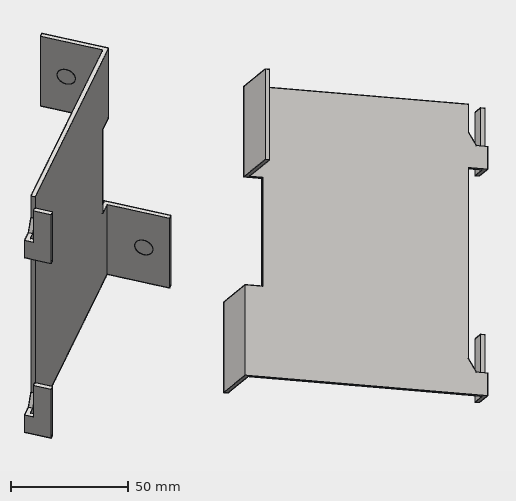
import cadquery as cq

thickness = 2.0
panel_height = 128.0
panel_depth = 100.0
overall_depth = 108.7

flange_reach = 28.0
flange_height = 40.0
rear_notch_depth = 8.0

hook_spacing = 100.0
hook_width = 12.0
hook_height = 28.0
hook_base_height = 10.0
hook_arm_width = 8.0
chamfer_depth = 3.5
chamfer_height = 5.7

mark_diameter = 8.2
mark_depth = 0.1
mark_offset = 16.4

panel_front = overall_depth - panel_depth
flange_front = overall_depth - thickness
flange_bottoms = {-1: panel_height - flange_height, 1: 0.0}


def box(x, y, z, width, depth, height):
    """Box with its minimum corner at (x, y, z)."""
    return cq.Workplane("XY").box(width, depth, height, centered=False).translate((x, y, z))


def make_panel():
    """Upright sheet with a notch in its rear edge between the two flanges."""
    sheet = box(0, panel_front, 0, thickness, panel_depth, panel_height)
    notch_height = panel_height - 2 * flange_height
    notch = box(0, overall_depth - rear_notch_depth, flange_height, thickness, rear_notch_depth, notch_height)
    return sheet.cut(notch)


def make_flange(side):
    """Rear flange reaching to -X (side = -1) or +X (side = 1), with its round mark."""
    bottom = flange_bottoms[side]
    left = -flange_reach if side < 0 else 0.0
    flange = box(left, flange_front, bottom, flange_reach + thickness, thickness, flange_height)
    mark_x = thickness / 2 + side * (thickness / 2 + mark_offset)
    mark = (
        cq.Workplane("XZ", origin=(mark_x, flange_front, bottom + flange_height / 2))
        .circle(mark_diameter / 2)
        .extrude(-mark_depth)
    )
    return flange.cut(mark)


def make_hook(bottom):
    """Foot running forward from the panel, ending in an L-shaped upright arm."""
    floor = bottom + hook_base_height
    foot = box(0, 0, bottom, thickness, panel_front, hook_base_height)
    front = box(0, 0, bottom, hook_width, thickness, hook_base_height)
    arm = box(hook_width - hook_arm_width, 0, bottom, hook_arm_width, thickness, hook_height)
    gusset = (
        cq.Workplane("YZ")
        .moveTo(panel_front, floor)
        .lineTo(panel_front - chamfer_depth, floor)
        .lineTo(panel_front, floor + chamfer_height)
        .close()
        .extrude(thickness)
    )
    return foot.union(front).union(arm).union(gusset)


result = make_panel()
for side in flange_bottoms:
    result = result.union(make_flange(side))
for bottom in (0.0, hook_spacing):
    result = result.union(make_hook(bottom))
result = result.clean()